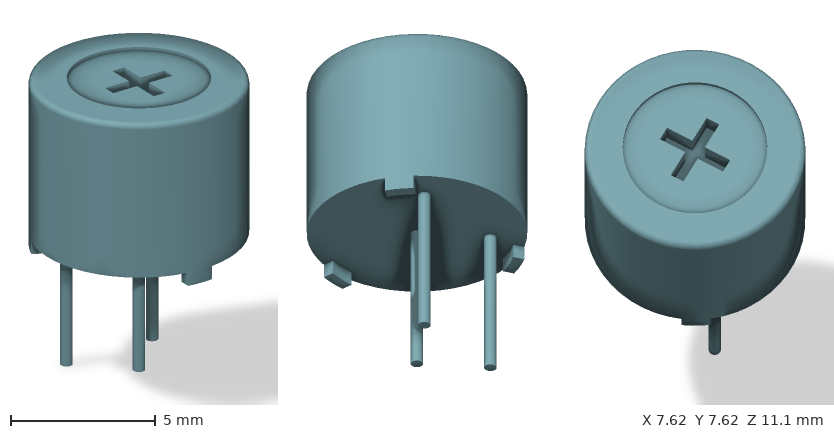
import cadquery as cq

total_height = 11.13
body_height = 5.84
pin_length = total_height - body_height

body_diameter = 7.62
rim_fillet = 0.2

recess_diameter = 5.0
recess_depth = 0.16
slot_length = 2.5
slot_width = 0.5
slot_depth = 0.8

foot_angles = [-0.8, 120, 240]
foot_height = 0.5
foot_width = 1
foot_inner_radius = 3.41

pin_diameter = 0.43
pin_pitch = 1.8
pin_positions = [(0, 0), (-pin_pitch, pin_pitch), (-pin_pitch, -pin_pitch)]


def make_body():
    """Cylinder with a rounded upper rim, reaching down to the tips of the feet."""
    foot_tips = cq.Workplane("XY").workplane(offset=-foot_height)
    cylinder = foot_tips.circle(body_diameter / 2).extrude(body_height + foot_height)
    return cylinder.faces(">Z").edges().fillet(rim_fillet)


def make_recess():
    """Cutter for the round recess and the cross slot below it."""
    recess_floor = cq.Workplane("XY").workplane(offset=body_height - recess_depth)
    recess = recess_floor.circle(recess_diameter / 2).extrude(recess_depth)
    slot_along_x = recess_floor.rect(slot_length, slot_width).extrude(-slot_depth)
    slot_along_y = recess_floor.rect(slot_width, slot_length).extrude(-slot_depth)
    return recess.union(slot_along_x).union(slot_along_y)


def make_underside():
    """Cutter below the seating face that leaves parallel-sided feet, arranged around the rim."""
    cutter = cq.Workplane("XY").circle(body_diameter).extrude(-foot_height)
    foot_block = (
        cq.Workplane("XY")
        .center(body_diameter / 2, 0)
        .rect(body_diameter, foot_width)
        .extrude(-foot_height)
    )
    axis_start = (0, 0, 0)
    axis_end = (0, 0, 1)
    for angle in foot_angles:
        cutter = cutter.cut(foot_block.rotate(axis_start, axis_end, angle))
    middle = cq.Workplane("XY").circle(foot_inner_radius).extrude(-foot_height)
    return cutter.union(middle)


def make_pins():
    """Straight round pins below the body."""
    return (
        cq.Workplane("XY")
        .pushPoints(pin_positions)
        .circle(pin_diameter / 2)
        .extrude(-pin_length)
    )


result = make_body().cut(make_recess()).cut(make_underside()).union(make_pins())